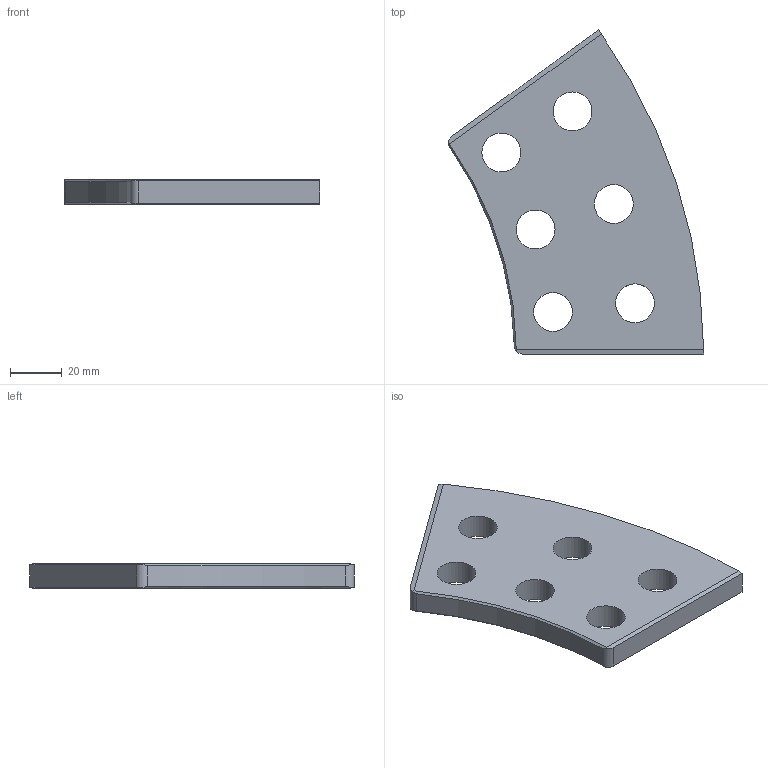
import cadquery as cq
import math

SEGMENT_ANGLE = 36.0
OUTER_RADIUS = 212.81
INNER_RADIUS = 139.78
THICKNESS = 9.49
CORNER_RADIUS = 3.175

INNER_BEVEL = 0.75
END_BEVEL_LENGTH = 1.9
END_BEVEL_DEPTH = 0.4

HOLE_DIAMETER = 15.0
HOLES_PER_ROW = 3
INNER_ROW_MARGIN = 15.8
INNER_ROW_RADIUS = INNER_RADIUS + INNER_ROW_MARGIN
ROW_SPACING = 31.75
ROW_RADII = (INNER_ROW_RADIUS, INNER_ROW_RADIUS + ROW_SPACING)

HALF_ANGLE = SEGMENT_ANGLE / 2
HALF_THICKNESS = THICKNESS / 2


def polar(radius, angle):
    """Point in the XY plane at a radius and an angle in degrees."""
    return (radius * math.cos(math.radians(angle)), radius * math.sin(math.radians(angle)))


def rounded_segment():
    """Flat ring segment with its two inner corners rounded."""
    segment = (
        cq.Workplane("XY")
        .workplane(offset=-HALF_THICKNESS)
        .moveTo(*polar(INNER_RADIUS, 0))
        .lineTo(*polar(OUTER_RADIUS, 0))
        .threePointArc(polar(OUTER_RADIUS, HALF_ANGLE), polar(OUTER_RADIUS, SEGMENT_ANGLE))
        .lineTo(*polar(INNER_RADIUS, SEGMENT_ANGLE))
        .threePointArc(polar(INNER_RADIUS, HALF_ANGLE), polar(INNER_RADIUS, 0))
        .close()
        .extrude(THICKNESS)
    )
    inner_corners = segment.edges(
        cq.selectors.NearestToPointSelector(polar(INNER_RADIUS, 0) + (0,))
        + cq.selectors.NearestToPointSelector(polar(INNER_RADIUS, SEGMENT_ANGLE) + (0,))
    )
    return inner_corners.fillet(CORNER_RADIUS)


def inner_bevel_cutter(side):
    """Ring that bevels the inner arc on the top (side 1) or bottom (side -1)."""
    return (
        cq.Workplane("XZ")
        .moveTo(INNER_RADIUS, side * (HALF_THICKNESS - INNER_BEVEL))
        .lineTo(INNER_RADIUS + INNER_BEVEL, side * HALF_THICKNESS)
        .lineTo(INNER_RADIUS, side * HALF_THICKNESS)
        .close()
        .revolve(360, (0, 0, 0), (0, 1, 0))
    )


def end_bevel_cutter(side):
    """Radial wedge that bevels the end face on the XZ plane, on the top or bottom."""
    return (
        cq.Workplane("YZ")
        .moveTo(0, side * (HALF_THICKNESS - END_BEVEL_DEPTH))
        .lineTo(END_BEVEL_LENGTH, side * HALF_THICKNESS)
        .lineTo(0, side * HALF_THICKNESS)
        .close()
        .extrude(OUTER_RADIUS)
    )


def bevel_edges(body):
    """Bevel the inner arc and both end faces, on the top and the bottom."""
    for side in (1, -1):
        near_end = end_bevel_cutter(side)
        far_end = near_end.mirror("XZ").rotate((0, 0, 0), (0, 0, 1), SEGMENT_ANGLE)
        body = body.cut(inner_bevel_cutter(side)).cut(near_end).cut(far_end)
    return body


def drill_holes(body):
    """Drill both rows of through holes."""
    hole_pitch = SEGMENT_ANGLE / HOLES_PER_ROW
    centres = [
        polar(radius, (index + 0.5) * hole_pitch)
        for radius in ROW_RADII
        for index in range(HOLES_PER_ROW)
    ]
    drills = (
        cq.Workplane("XY")
        .workplane(offset=-HALF_THICKNESS)
        .pushPoints(centres)
        .circle(HOLE_DIAMETER / 2)
        .extrude(THICKNESS)
    )
    return body.cut(drills)


result = drill_holes(bevel_edges(rounded_segment()))